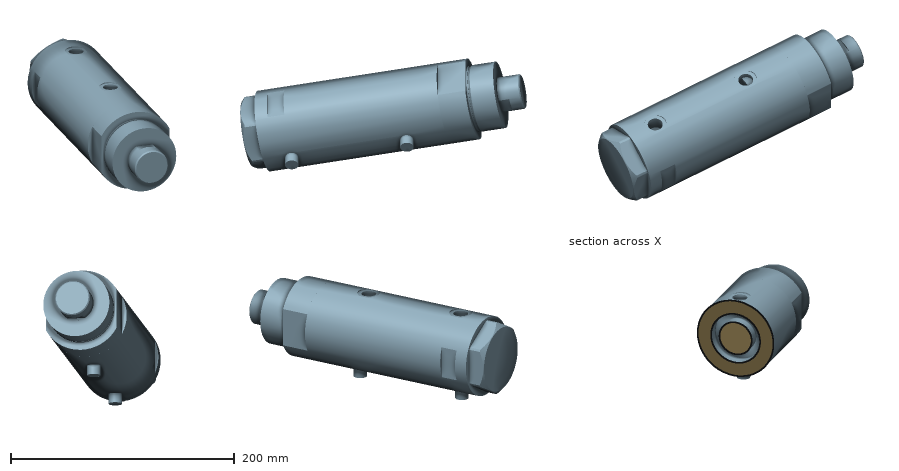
import cadquery as cq
import math


flange_start = 14.6
housing_start = 16.2
rear_port_x = 41.7
front_port_x = 137.0
housing_end = 181.8
head_end = 207.0
collar_start = 210.5
gland_end = 232.0
rod_end = 252.5

housing_diameter = 73.0
housing_radius = housing_diameter / 2
bore_radius = 23.2
pocket_start = 26.0
pocket_length = 15.5
pocket_floor_offset = 33.5

port_diameter = 13.5
port_radius = port_diameter / 2
spot_face_radius = 10.0
spot_face_depth = 1.14
spot_face_z = housing_radius - spot_face_depth

peg_radius = 6.0
peg_height = 8.5
peg_stations = (40.5, 146.0)

hex_across_flats = 60.0
hex_corner_radius = 34.0
cap_face_radius = 29.5
cap_chamfer_length = 4.0

plug_radius = 31.3
wrench_flat_offset = 32.0
collar_radius = 30.0
shoulder_length = 1.5
shoulder_radius = 29.8
groove_radius = 29.0
groove_floor_length = 0.8

rod_radius = 15.7
piston_length = 38.0
rod_chamfer = 1.0
rod_flat_end = 241.6
rod_flat_offset = 13.6


def cylinder(x_start, x_end, radius):
    """Solid cylinder around the X axis."""
    return cq.Workplane("YZ", origin=(x_start, 0, 0)).circle(radius).extrude(x_end - x_start)


def vertical_cylinder(x, z_start, z_end, radius):
    """Solid cylinder around a line parallel to Z through the X axis."""
    return cq.Workplane("XY", origin=(x, 0, z_start)).circle(radius).extrude(z_end - z_start)


def cut_flats(body, x_start, x_end, offset, outer_radius, across):
    """Cut two opposite flats, each at the given offset from the X axis along +/- across."""
    length = x_end - x_start
    depth = outer_radius - offset
    for side in (1, -1):
        middle = side * (offset + depth / 2)
        if across == "Y":
            block = cq.Workplane("XY").box(length, depth, 2 * outer_radius)
            block = block.translate((x_start + length / 2, middle, 0))
        else:
            block = cq.Workplane("XY").box(length, 2 * outer_radius, depth)
            block = block.translate((x_start + length / 2, 0, middle))
        body = body.cut(block)
    return body


def make_cap():
    """Hex head with rounded, chamfered corners, a thin flange and a plug that closes the bore."""
    hex_corner_diameter = hex_across_flats / math.cos(math.pi / 6)
    hex_prism = (
        cq.Workplane("YZ")
        .polygon(6, hex_corner_diameter)
        .extrude(flange_start)
        .rotate((0, 0, 0), (1, 0, 0), 90)
    )
    corner_envelope = (
        cq.Workplane("XY")
        .polyline([
            (0, 0),
            (0, cap_face_radius),
            (cap_chamfer_length, hex_corner_radius),
            (flange_start, hex_corner_radius),
            (flange_start, 0),
        ])
        .close()
        .revolve(360, (0, 0, 0), (1, 0, 0))
    )
    flange = cylinder(flange_start, housing_start, housing_radius)
    plug = cylinder(housing_start, rear_port_x, bore_radius)
    return hex_prism.intersect(corner_envelope).union(flange).union(plug)


def make_housing():
    """Tube with two pegs below, two ports on top and two side pockets."""
    body = cylinder(housing_start, housing_end, housing_radius)
    for x in peg_stations:
        body = body.union(vertical_cylinder(x, -housing_radius - peg_height, 0, peg_radius))

    pocket_end = pocket_start + pocket_length
    body = cut_flats(body, pocket_start, pocket_end, pocket_floor_offset, housing_radius, "Y")

    for x in (rear_port_x, front_port_x):
        body = body.cut(vertical_cylinder(x, spot_face_z, housing_radius, spot_face_radius))
        body = body.cut(vertical_cylinder(x, 0, housing_radius, port_radius))

    body = body.cut(cylinder(housing_start, front_port_x, bore_radius))
    return body.cut(cylinder(front_port_x, housing_end, plug_radius))


def make_gland():
    """Plug inside the housing, a head with wrench flats, a grooved neck and a collar."""
    shoulder_end = head_end + shoulder_length
    groove_floor_end = shoulder_end + groove_floor_length
    plug = cylinder(front_port_x, housing_end, plug_radius)
    head = cylinder(housing_end, head_end, housing_radius)
    head = cut_flats(head, housing_end, head_end, wrench_flat_offset, housing_radius, "Y")
    neck_and_collar = (
        cq.Workplane("XY")
        .polyline([
            (head_end, 0),
            (head_end, shoulder_radius),
            (shoulder_end, shoulder_radius),
            (shoulder_end, groove_radius),
            (groove_floor_end, groove_radius),
            (collar_start, collar_radius),
            (gland_end, collar_radius),
            (gland_end, 0),
        ])
        .close()
        .revolve(360, (0, 0, 0), (1, 0, 0))
    )
    gland = plug.union(head).union(neck_and_collar)
    return gland.cut(cylinder(front_port_x, gland_end, rod_radius))


def make_rod():
    """Piston resting on the cap, with a rod that has wrench flats and a chamfered tip."""
    piston_end = rear_port_x + piston_length
    rod = cylinder(piston_end, rod_end, rod_radius).faces(">X").chamfer(rod_chamfer)
    rod = cut_flats(rod, gland_end, rod_flat_end, rod_flat_offset, rod_radius, "Z")
    return rod.union(cylinder(rear_port_x, piston_end, bore_radius))


cap = make_cap().solids()
housing = make_housing().solids()
gland = make_gland().solids()
rod = make_rod().solids()

result = cq.Compound.makeCompound([cap.val(), housing.val(), gland.val(), rod.val()])